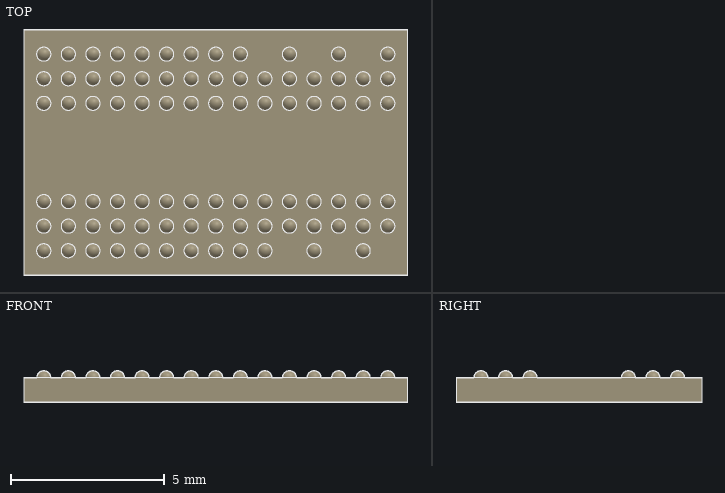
import cadquery as cq

body_length = 12.5
body_width = 8.0
body_height = 0.8

total_height = 1.03
ball_diameter = 0.46
ball_radius = ball_diameter / 2
ball_center_z = total_height - ball_radius

pitch = 0.8
column_count = 15
inner_row_y = 2 * pitch
middle_row_y = 3 * pitch
outer_row_y = 4 * pitch

empty_back_columns = (9, 11, 13)
empty_front_columns = (10, 12, 14)


def column_x(column):
    """X position of a ball column, with the grid centred on the body."""
    return (column - (column_count - 1) / 2) * pitch


def row_points(y, empty_columns=()):
    """Ball centres along one row, skipping the empty columns."""
    return [(column_x(c), y) for c in range(column_count) if c not in empty_columns]


def make_body():
    """Plain rectangular package body."""
    return cq.Workplane("XY").box(body_length, body_width, body_height, centered=(True, True, False))


def make_balls():
    """All solder balls of both banks."""
    points = row_points(outer_row_y, empty_back_columns)
    for y in (middle_row_y, inner_row_y, -inner_row_y, -middle_row_y):
        points += row_points(y)
    points += row_points(-outer_row_y, empty_front_columns)
    return cq.Workplane("XY").workplane(offset=ball_center_z).pushPoints(points).sphere(ball_radius)


result = make_body().union(make_balls())